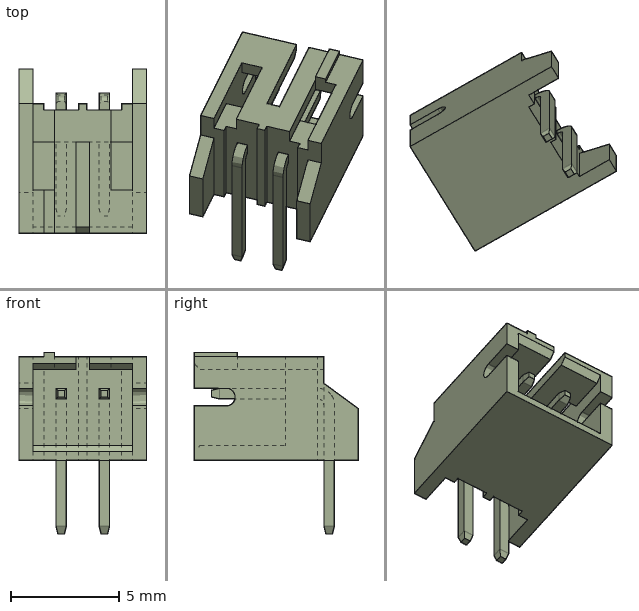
import cadquery as cq


width = 5.9
height = 4.8
core_depth = 5.7
wall_depth = 6.0
leg_depth = 7.6
side_wall = 0.655
leg_rear_height = 2.39
leg_slope_top = 3.57

cavity_width = width - 2 * side_wall
cavity_depth = 4.23
cavity_bottom = 0.7
cavity_top = 4.19
lead_in = 0.29

key_slot_width = 0.605
bridge_width = 2.6
window_start = 2.0
recess_floor = cavity_top
notch_depth = 1.9
notch_bottom = 2.53
notch_top = 3.335

rib_width = 0.495
rib_height = 0.2
rear_center_rib = 0.38
rear_side_rib = 0.495

pin_size = 0.495
pin_pitch = 2.0
pin_tip_size = 0.31
pin_tip_length = 0.37
pin_front = 0.8
pin_rear = 6.49
pin_top = notch_top
pin_bottom = -3.4
bend_radius = 0.76


def block(x_min, x_max, y_min, y_max, z_min, z_max):
    """Box given by its limits along each axis."""
    size = (x_max - x_min, y_max - y_min, z_max - z_min)
    return cq.Workplane("XY").box(*size, centered=False).translate((x_min, y_min, z_min))


def extrude_profile(points, x_center, thickness):
    """Closed (Y, Z) profile extruded along X about x_center."""
    profile = cq.Workplane("YZ", origin=(x_center, 0, 0)).polyline(points).close()
    return profile.extrude(thickness / 2, both=True)


def make_body():
    """Core block between two side walls that extend into sloped rear legs."""
    body = block(-width / 2, width / 2, 0, core_depth, 0, height)
    wall_profile = [
        (0, 0),
        (leg_depth, 0),
        (leg_depth, leg_rear_height),
        (wall_depth, leg_slope_top),
        (wall_depth, height),
        (0, height),
    ]
    for side in (-1, 1):
        wall_center = side * (width - side_wall) / 2
        body = body.union(extrude_profile(wall_profile, wall_center, side_wall))

    rib_offset = (cavity_width - rear_side_rib) / 2
    rear_ribs = [(-rib_offset, rear_side_rib), (0, rear_center_rib), (rib_offset, rear_side_rib)]
    for center, rib in rear_ribs:
        body = body.union(block(center - rib / 2, center + rib / 2, core_depth, wall_depth, 0, height))
    return body


def make_cavity():
    """Mating cavity with 45 degree lead-ins on its floor and roof."""
    profile = [
        (0, cavity_bottom - lead_in),
        (lead_in, cavity_bottom),
        (cavity_depth, cavity_bottom),
        (cavity_depth, cavity_top),
        (lead_in, cavity_top),
        (0, cavity_top + lead_in),
    ]
    return extrude_profile(profile, 0, cavity_width)


def cut_roof(body):
    """Key slot, and on each side a window into the cavity followed by a shallow recess."""
    body = body.cut(block(-key_slot_width / 2, key_slot_width / 2, 0, cavity_depth, cavity_top, height))
    for x_min, x_max in ((-cavity_width / 2, -bridge_width / 2), (bridge_width / 2, cavity_width / 2)):
        body = body.cut(block(x_min, x_max, window_start, cavity_depth, cavity_top, height))
        body = body.cut(block(x_min, x_max, cavity_depth, wall_depth, recess_floor, height))
    return body


def make_side_notch():
    """Round-ended notch through both side walls, open at the front."""
    radius = (notch_top - notch_bottom) / 2
    middle = (notch_top + notch_bottom) / 2
    profile = (
        cq.Workplane("YZ")
        .moveTo(0, notch_bottom)
        .lineTo(notch_depth - radius, notch_bottom)
        .threePointArc((notch_depth, middle), (notch_depth - radius, notch_top))
        .lineTo(0, notch_top)
        .close()
    )
    return profile.extrude(width / 2, both=True)


def make_pin(x):
    """Square pin bent from horizontal to vertical, with a tapered tip at each end."""
    shank_front = pin_front + pin_tip_length
    shank_bottom = pin_bottom + pin_tip_length
    inner_y = pin_rear - pin_size
    inner_z = pin_top - pin_size
    profile = [
        (shank_front, inner_z),
        (inner_y, inner_z),
        (inner_y, shank_bottom),
        (pin_rear, shank_bottom),
        (pin_rear, pin_top),
        (shank_front, pin_top),
    ]
    shank = extrude_profile(profile, x, pin_size)
    outer_corner = cq.selectors.NearestToPointSelector((x, pin_rear, pin_top))
    inner_corner = cq.selectors.NearestToPointSelector((x, inner_y, inner_z))
    shank = shank.edges("|X").edges(outer_corner).fillet(bend_radius)
    shank = shank.edges("|X").edges(inner_corner).fillet(bend_radius - pin_size)

    front_plane = cq.Plane((x, shank_front, pin_top - pin_size / 2), (1, 0, 0), (0, -1, 0))
    bottom_plane = cq.Plane((x, pin_rear - pin_size / 2, shank_bottom), (1, 0, 0), (0, 0, -1))
    for plane in (front_plane, bottom_plane):
        tip = (
            cq.Workplane(plane)
            .rect(pin_size, pin_size)
            .workplane(offset=pin_tip_length)
            .rect(pin_tip_size, pin_tip_size)
            .loft()
        )
        shank = shank.union(tip)
    return shank


housing = cut_roof(make_body().cut(make_cavity()).cut(make_side_notch()))

rib_right = -bridge_width / 2
polarity_rib = block(rib_right - rib_width, rib_right, 0, window_start, height, height + rib_height)

result = housing.union(polarity_rib)
for pin_x in (-pin_pitch / 2, pin_pitch / 2):
    result = result.union(make_pin(pin_x))